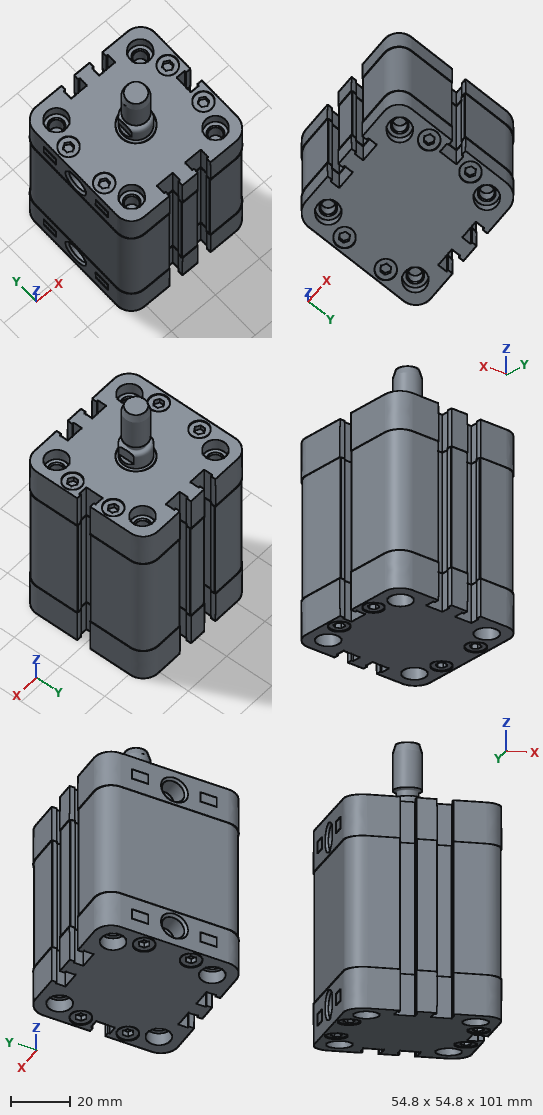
import cadquery as cq
import math


cover_height = 14.5
barrel_height = 46.0
housing_height = barrel_height + 2 * cover_height
cover_width = 54.8
cover_end_width = 54.6
barrel_width = 54.4
corner_radius = 6.65
cover_draft = math.degrees(math.atan((cover_width - cover_end_width) / 2 / cover_height))

slot_offset = 6.38
slots = [(90, -slot_offset), (90, slot_offset), (270, -slot_offset), (270, slot_offset), (0, 0)]
slot_floor = 21.8
slot_lip_inside = 25.3
slot_mouth_width = 5.45
slot_inner_width = 6.9
slot_mouth_chamfer = 0.25
cover_slot_clearance = 0.15

mount_spacing = 38.0
mount_bore_diameter = 9.0
mount_bore_depth = 5.0
mount_thread_diameter = 5.2
mount_thread_depth = 12.0
mount_thread_chamfer = 0.5

screw_spacing_x = 45.0
screw_spacing_y = 18.0
screw_hole_diameter = 7.7
screw_head_diameter = 7.5
screw_head_height = 2.5
screw_recess_depth = 0.4
screw_socket_width = 3.5
screw_socket_depth = 2.0

port_end_distance = 8.1
port_diameter = 8.57
port_mouth_diameter = 10.5
port_floor_diameter = 40.0

label_length = 6.2
label_height = 4.0
label_offset = 13.1
label_end_distance = 7.3
label_depth = 0.2

rod_diameter = 12.0
rod_shoulder_z = 82.0
rod_shoulder_radius = 1.2
rod_flat_width = 10.0
rod_flat_start = 77.4
neck_diameter = 7.7
neck_root_radius = 0.3
neck_run_out = 0.6
thread_diameter = 10.0
thread_start = 85.0
rod_top = 101.0
tip_diameter = 8.2
tip_length = 2.9

lip_top_diameter = 12.54
lip_diameter = 13.7
groove_diameter = 14.0
groove_rim_radius = 0.3


def rounded_square(width, height, draft=0):
    """Square prism with rounded upright corners, narrowing upward by the draft angle."""
    outline = cq.Sketch().rect(width, width).vertices().fillet(corner_radius)
    return cq.Workplane("XY").placeSketch(outline).extrude(height, taper=draft)


def cut_at_slots(body, cutter):
    """Cut the cutter, drawn opening towards +X, from the body at each slot."""
    for direction, offset in slots:
        placed = cutter.translate((0, offset, 0)).rotate((0, 0, 0), (0, 0, 1), direction)
        body = body.cut(placed)
    return body


def make_slot_cutter(height, clearance):
    """T-slot prism opening towards +X, its floor and side walls moved out by the clearance."""
    floor = slot_floor - clearance
    half_inner = slot_inner_width / 2 + clearance
    half_mouth = slot_mouth_width / 2 + clearance
    outside = cover_width / 2 + 1
    return (
        cq.Workplane("XY")
        .moveTo(floor, -half_inner)
        .lineTo(slot_lip_inside, -half_inner)
        .lineTo(slot_lip_inside, -half_mouth)
        .lineTo(outside, -half_mouth)
        .lineTo(outside, half_mouth)
        .lineTo(slot_lip_inside, half_mouth)
        .lineTo(slot_lip_inside, half_inner)
        .lineTo(floor, half_inner)
        .close()
        .extrude(height)
    )


def make_mouth_chamfer_cutter(height):
    """Trapezoid prism that chamfers both outer edges of a barrel slot opening towards +X."""
    side = barrel_width / 2
    half_mouth = slot_mouth_width / 2
    return (
        cq.Workplane("XY")
        .moveTo(side - slot_mouth_chamfer, -half_mouth)
        .lineTo(side, -half_mouth - slot_mouth_chamfer)
        .lineTo(side, half_mouth + slot_mouth_chamfer)
        .lineTo(side - slot_mouth_chamfer, half_mouth)
        .close()
        .extrude(height)
    )


def cut_grid(body, cutter, spacing_x, spacing_y):
    """Cut four copies of the cutter from the outer face of a cover."""
    for x in (-spacing_x / 2, spacing_x / 2):
        for y in (-spacing_y / 2, spacing_y / 2):
            body = body.cut(cutter.translate((x, y, cover_height)))
    return body


def make_mount_hole():
    """Mounting hole going down from Z = 0."""
    bore = cq.Workplane("XY").circle(mount_bore_diameter / 2).extrude(-mount_bore_depth)
    thread = cq.Workplane("XY").circle(mount_thread_diameter / 2).extrude(-mount_thread_depth)
    chamfer = (
        cq.Workplane("XY", origin=(0, 0, -mount_bore_depth))
        .circle(mount_thread_diameter / 2 + mount_thread_chamfer)
        .workplane(offset=-mount_thread_chamfer)
        .circle(mount_thread_diameter / 2)
        .loft()
    )
    return bore.union(thread).union(chamfer)


def make_screw_cutter():
    """Recess, gap around the head and hexagon socket of a cover screw, going down from Z = 0."""
    recess = cq.Workplane("XY").circle(screw_hole_diameter / 2).extrude(-screw_recess_depth)
    head_top = cq.Workplane("XY", origin=(0, 0, -screw_recess_depth))
    gap = (
        head_top.circle(screw_hole_diameter / 2)
        .circle(screw_head_diameter / 2)
        .extrude(-screw_head_height)
    )
    socket_corners = screw_socket_width / math.cos(math.pi / 6)
    socket = head_top.polygon(6, socket_corners).extrude(-screw_socket_depth)
    return recess.union(gap).union(socket.rotate((0, 0, 0), (0, 0, 1), 90))


def cut_port(body):
    side = cover_width / 2
    mouth_depth = (port_mouth_diameter - port_diameter) / 2
    entry = cq.Workplane("YZ", origin=(-side, 0, cover_height - port_end_distance))
    drill = entry.circle(port_diameter / 2).extrude(side)
    mouth = (
        entry.circle(port_mouth_diameter / 2)
        .workplane(offset=mouth_depth)
        .circle(port_diameter / 2)
        .loft()
    )
    core = cq.Workplane("XY").circle(port_floor_diameter / 2).extrude(cover_height)
    return body.cut(drill.union(mouth).cut(core))


def cut_labels(body):
    z = cover_height - label_end_distance
    panel = cq.Workplane("XY").box(2 * label_depth, label_length, label_height)
    for y in (-label_offset, label_offset):
        body = body.cut(panel.translate((-cover_width / 2, y, z)))
    return body


def make_cover():
    """End cover with its mating face on Z = 0 and its outer face up."""
    cover = rounded_square(cover_width, cover_height, cover_draft)
    cover = cut_at_slots(cover, make_slot_cutter(cover_height, cover_slot_clearance))
    cover = cut_grid(cover, make_mount_hole(), mount_spacing, mount_spacing)
    cover = cut_grid(cover, make_screw_cutter(), screw_spacing_x, screw_spacing_y)
    cover = cut_port(cover)
    return cut_labels(cover)


def make_wiper_groove():
    """Ring to be cut from the outer face of the rod cover."""
    lip_rounding = (lip_diameter - lip_top_diameter) / 2
    groove_floor = cover_height - lip_rounding
    groove_wall = groove_diameter / 2
    return (
        cq.Workplane("XZ")
        .moveTo(lip_top_diameter / 2, cover_height)
        .radiusArc((lip_diameter / 2, groove_floor), lip_rounding)
        .lineTo(groove_wall, groove_floor)
        .lineTo(groove_wall, cover_height - groove_rim_radius)
        .radiusArc((groove_wall + groove_rim_radius, cover_height), groove_rim_radius)
        .close()
        .revolve(360, (0, 0, 0), (0, 1, 0))
    )


def make_rod_cover():
    """End cover with the rod hole and the wiper groove around the rod."""
    rod_hole = cq.Workplane("XY").circle(rod_diameter / 2).extrude(cover_height)
    return make_cover().cut(rod_hole).cut(make_wiper_groove())


def make_barrel():
    barrel = rounded_square(barrel_width, barrel_height)
    barrel = cut_at_slots(barrel, make_slot_cutter(barrel_height, 0))
    return cut_at_slots(barrel, make_mouth_chamfer_cutter(barrel_height))


def make_rod():
    """Rod standing on the barrel, with a wrench flat on each X side and a necked, bevelled end."""
    rod_radius = rod_diameter / 2
    neck_radius = neck_diameter / 2
    thread_radius = thread_diameter / 2
    bottom = cover_height + barrel_height
    rod = (
        cq.Workplane("XZ")
        .moveTo(0, bottom)
        .lineTo(rod_radius, bottom)
        .lineTo(rod_radius, rod_shoulder_z)
        .lineTo(neck_radius, rod_shoulder_z)
        .lineTo(neck_radius, thread_start - neck_run_out)
        .lineTo(thread_radius, thread_start)
        .lineTo(thread_radius, rod_top - tip_length)
        .lineTo(tip_diameter / 2, rod_top)
        .lineTo(0, rod_top)
        .close()
        .revolve(360, (0, 0, 0), (0, 1, 0))
    )
    rod = rod.edges(cq.selectors.RadiusNthSelector(0)).fillet(neck_root_radius)
    rod = rod.edges(cq.selectors.RadiusNthSelector(-1)).edges(">Z").fillet(rod_shoulder_radius)

    flat = rod_flat_width / 2
    run_out = rod_radius - flat
    flat_cutter = (
        cq.Workplane("XZ")
        .moveTo(flat, rod_flat_start)
        .lineTo(rod_radius, rod_flat_start - run_out)
        .lineTo(rod_radius, rod_shoulder_z)
        .lineTo(flat, rod_shoulder_z)
        .close()
        .extrude(rod_radius, both=True)
    )
    return rod.cut(flat_cutter).cut(flat_cutter.mirror("YZ"))


rear_cover = make_cover().mirror("XY").translate((0, 0, cover_height))
barrel = make_barrel().translate((0, 0, cover_height))
rod_cover = make_rod_cover().translate((0, 0, housing_height - cover_height))
rod = make_rod()

bodies = [rear_cover, barrel, rod_cover, rod]
result = cq.Compound.makeCompound([body.solids().val() for body in bodies])